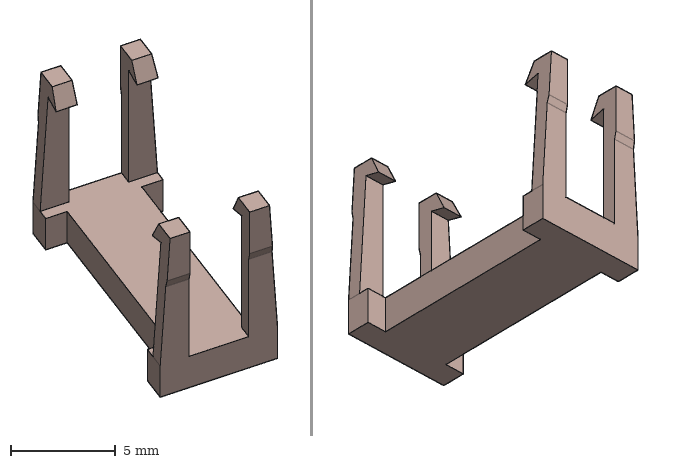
import cadquery as cq

base_length = 13.46
base_height = 1.98
plate_width = 4.0
end_width = 6.3
end_length = 1.36

total_height = 9.92
leg_thickness = 0.77
leg_gap = 3.2
legs_top_width = 5.34
outer_step = 0.1
step_top_depth = 2.62
step_bottom_depth = 3.05

hook_top_length = 1.2
hook_reach = 1.75
hook_tip_depth = 1.13
hook_root_depth = 0.9

base_end_x = -base_length / 2
leg_inner_x = base_end_x + leg_thickness
leg_outer_x = base_end_x - outer_step


def make_base():
    """Plate with both end blocks, resting on Z = 0."""
    centering = (True, True, False)
    base = cq.Workplane("XY").box(base_length, plate_width, base_height, centered=centering)
    end_center_x = (base_length - end_length) / 2
    for side in (-1, 1):
        block = cq.Workplane("XY").box(end_length, end_width, base_height, centered=centering)
        base = base.union(block.translate((side * end_center_x, 0, 0)))
    return base


def make_hook_profile():
    """Leg and hook outline in XZ, extruded across the full width of the end block."""
    outline = [
        (base_end_x, base_height),
        (leg_inner_x, base_height),
        (leg_inner_x, total_height - hook_root_depth),
        (leg_outer_x + hook_reach, total_height - hook_tip_depth),
        (leg_outer_x + hook_top_length, total_height),
        (leg_outer_x, total_height),
        (leg_outer_x, total_height - step_top_depth),
        (base_end_x, total_height - step_bottom_depth),
    ]
    return cq.Workplane("XZ").polyline(outline).close().extrude(end_width / 2, both=True)


def make_taper_envelope(side):
    """Side outline of one leg in YZ: straight inner face, outer face leaning inward."""
    outline = [
        (side * leg_gap / 2, base_height),
        (side * end_width / 2, base_height),
        (side * legs_top_width / 2, total_height),
        (side * leg_gap / 2, total_height),
    ]
    return cq.Workplane("YZ").polyline(outline).close().extrude(base_length, both=True)


def make_leg_pair():
    """Both legs at the -X end."""
    profile = make_hook_profile()
    front_leg = profile.intersect(make_taper_envelope(-1))
    back_leg = profile.intersect(make_taper_envelope(1))
    return front_leg.union(back_leg)


left_legs = make_leg_pair()
right_legs = left_legs.mirror("YZ")
result = make_base().union(left_legs).union(right_legs)